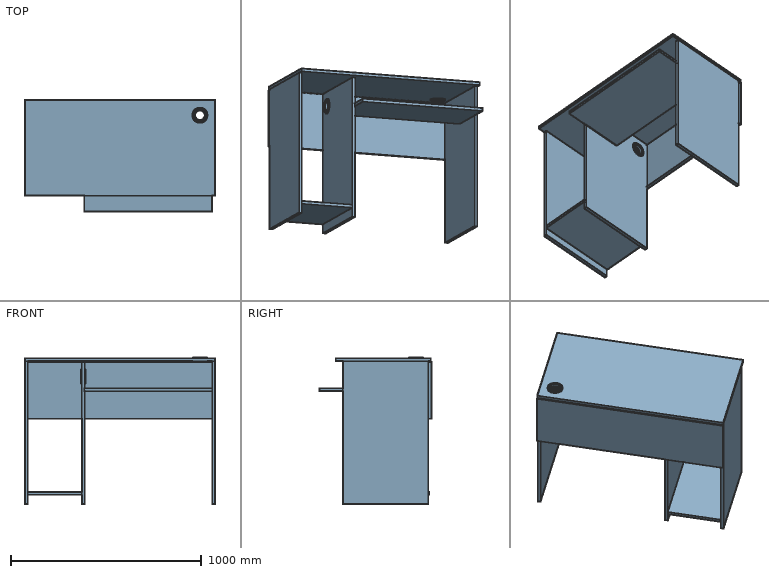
import cadquery as cq

BOARD = 16.0
DESK_WIDTH = 1000.0
DESK_DEPTH = 500.0
SIDE_HEIGHT = 751.0
SIDE_DEPTH = 450.0

BACK_OVERHANG = 4.0
SIDE_BACK_Y = DESK_DEPTH + BACK_OVERHANG - BOARD
SIDE_FRONT_Y = SIDE_BACK_Y - SIDE_DEPTH

TOP_GAP = 3.0
INNER_TOP_Z = SIDE_HEIGHT - TOP_GAP
BACK_HEIGHT = 300.0
DIVIDER_X = 299.0
DIVIDER_RIGHT_X = DIVIDER_X + BOARD

SHELF_Z = 48.0
SHELF_OVERHANG = 3.0

TRAY_Z = 594.0
TRAY_OVERHANG = 85.0
TRAY_DEPTH = 350.0
TRAY_WIDTH = 672.0
GROOVE_DEPTH = 3.0
TRAY_X = DIVIDER_RIGHT_X - GROOVE_DEPTH
TRAY_BACK_Y = TRAY_DEPTH - TRAY_OVERHANG

GROMMET_BORE = 50.0
GROMMET_SLEEVE = 60.0
GROMMET_RIM = 80.0
GROMMET_RIM_FACE = 70.0
RIM_HEIGHT = 5.0
GROMMET_Y = 422.0
TOP_GROMMET_X = 920.0
DIVIDER_GROMMET_Z = 670.0


def board(x, y, z, width, depth, height):
    """Rectangular board with its lowest corner at (x, y, z)."""
    return cq.Workplane("XY").box(width, depth, height, centered=False).translate((x, y, z))


def sleeve_hole_in_top():
    return (
        cq.Workplane("XY", origin=(TOP_GROMMET_X, GROMMET_Y, SIDE_HEIGHT))
        .circle(GROMMET_SLEEVE / 2)
        .extrude(BOARD)
    )


def sleeve_hole_in_divider():
    return (
        cq.Workplane("YZ", origin=(DIVIDER_X, GROMMET_Y, DIVIDER_GROMMET_Z))
        .circle(GROMMET_SLEEVE / 2)
        .extrude(BOARD)
    )


def make_desk_top():
    slab = board(0, 0, SIDE_HEIGHT, DESK_WIDTH, DESK_DEPTH, BOARD)
    return slab.cut(sleeve_hole_in_top())


def make_side_panel(x):
    return board(x, SIDE_FRONT_Y, 0, BOARD, SIDE_DEPTH, SIDE_HEIGHT)


def make_divider():
    panel = board(DIVIDER_X, SIDE_FRONT_Y, 0, BOARD, SIDE_DEPTH, INNER_TOP_Z)
    groove_length = TRAY_BACK_Y - SIDE_FRONT_Y
    groove = board(TRAY_X, SIDE_FRONT_Y, TRAY_Z, GROOVE_DEPTH, groove_length, BOARD)
    return panel.cut(groove).cut(sleeve_hole_in_divider())


def make_back_panel():
    return board(0, SIDE_BACK_Y, INNER_TOP_Z - BACK_HEIGHT, DESK_WIDTH, BOARD, BACK_HEIGHT)


def make_bottom_shelf():
    return board(BOARD, SIDE_FRONT_Y, SHELF_Z, DIVIDER_X - BOARD, SIDE_DEPTH + SHELF_OVERHANG, BOARD)


def make_tray():
    return board(TRAY_X, -TRAY_OVERHANG, TRAY_Z, TRAY_WIDTH, TRAY_DEPTH, BOARD)


def make_grommet(plane, origin):
    """Revolved grommet whose sleeve starts at origin and runs along the plane normal."""
    bore = GROMMET_BORE / 2
    sleeve = GROMMET_SLEEVE / 2
    rim = GROMMET_RIM / 2
    rim_face = GROMMET_RIM_FACE / 2
    profile = [
        (bore, -RIM_HEIGHT),
        (rim_face, -RIM_HEIGHT),
        (rim, 0),
        (sleeve, 0),
        (sleeve, BOARD),
        (rim, BOARD),
        (rim_face, BOARD + RIM_HEIGHT),
        (bore, BOARD + RIM_HEIGHT),
    ]
    body = cq.Workplane("XZ").polyline(profile).close().revolve(360, (0, 0, 0), (0, 1, 0))
    location = cq.Location(cq.Plane(origin=origin, xDir=plane.xDir, normal=plane.zDir))
    return body.val().moved(location)


desk_top = make_desk_top()
side_panels = [make_side_panel(x) for x in (0, DESK_WIDTH - BOARD)]
divider = make_divider()
back_panel = make_back_panel()
bottom_shelf = make_bottom_shelf()
tray = make_tray()
grommet_places = [
    (cq.Plane.XY(), (TOP_GROMMET_X, GROMMET_Y, SIDE_HEIGHT)),
    (cq.Plane.YZ(), (DIVIDER_X, GROMMET_Y, DIVIDER_GROMMET_Z)),
]
grommets = [make_grommet(plane, origin) for plane, origin in grommet_places]

result = cq.Compound.makeCompound([
    desk_top.val(),
    *[panel.val() for panel in side_panels],
    divider.val(),
    back_panel.val(),
    bottom_shelf.val(),
    tray.val(),
    *grommets,
])